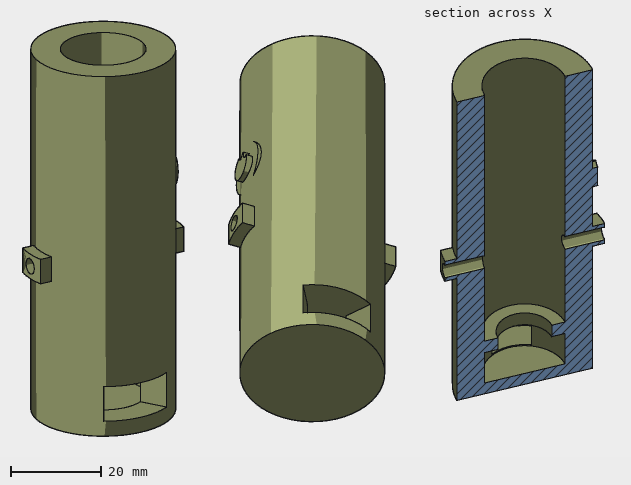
import cadquery as cq
import math

body_height = 86.4
body_diameter = 32.2
bore_diameter = 19.0
chamber_floor = 3.3
passage_diameter = 12.7
shelf_thickness = 3.45

window_bottom = 3.6
window_top = 11.9
window_outer_half_width = 8.1
window_inner_half_width = 4.7

lug_width = 7.8
lug_height = 5.9
lug_center_z = 38.2
lug_span = 37.8
lug_hole_diameter = 3.5

button_center_z = 55.7
flange_diameter = 12.3
flange_face_y = 15.7
button_diameter = 6.6
button_face_y = 17.3
notch_diameter = 2.2
notch_angles = (90, 145)

body_radius = body_diameter / 2
bore_radius = bore_diameter / 2


def cylinder_z(diameter, bottom, top):
    return cq.Workplane("XY").workplane(offset=bottom).circle(diameter / 2).extrude(top - bottom)


def cylinder_y(diameter, x, z, start_y, end_y):
    """Cylinder along +Y between two Y positions."""
    plane = cq.Workplane("XZ", origin=(x, start_y, z))
    return plane.circle(diameter / 2).extrude(start_y - end_y)


def make_lugs():
    """Bar through the tube with its ends rounded about the tube axis."""
    bar = cq.Workplane("XY").box(lug_width, lug_span, lug_height)
    bar = bar.translate((0, 0, lug_center_z))
    return bar.intersect(cylinder_z(lug_span, 0, body_height))


def make_window(side):
    """Tapered opening on the +X (side = 1) or -X (side = -1) wall."""
    outer_x = math.sqrt(body_radius**2 - window_outer_half_width**2)
    inner_x = math.sqrt(bore_radius**2 - window_inner_half_width**2)
    outline = [
        (side * inner_x, -window_inner_half_width),
        (side * outer_x, -window_outer_half_width),
        (side * body_radius, -window_outer_half_width),
        (side * body_radius, window_outer_half_width),
        (side * outer_x, window_outer_half_width),
        (side * inner_x, window_inner_half_width),
        (0, window_inner_half_width),
        (0, -window_inner_half_width),
    ]
    plane = cq.Workplane("XY").workplane(offset=window_bottom)
    return plane.polyline(outline).close().extrude(window_top - window_bottom)


def make_button():
    """Notched round head on a low flange set into the tube wall."""
    root_y = (body_radius + bore_radius) / 2
    flange = cylinder_y(flange_diameter, 0, button_center_z, root_y, flange_face_y)
    head = cylinder_y(button_diameter, 0, button_center_z, root_y, button_face_y)
    for angle in notch_angles:
        direction = math.radians(angle)
        notch_x = button_diameter / 2 * math.cos(direction)
        notch_z = button_center_z + button_diameter / 2 * math.sin(direction)
        head = head.cut(cylinder_y(notch_diameter, notch_x, notch_z, root_y, button_face_y))
    return flange.union(head)


result = cylinder_z(body_diameter, 0, body_height).union(make_lugs()).union(make_button())

shelf_top = window_top + shelf_thickness
result = result.cut(cylinder_z(bore_diameter, shelf_top, body_height))
result = result.cut(cylinder_z(bore_diameter, chamber_floor, window_top))
result = result.cut(cylinder_z(passage_diameter, chamber_floor, shelf_top))

for side in (-1, 1):
    result = result.cut(make_window(side))
result = result.cut(cylinder_y(lug_hole_diameter, 0, lug_center_z, -lug_span / 2, lug_span / 2))